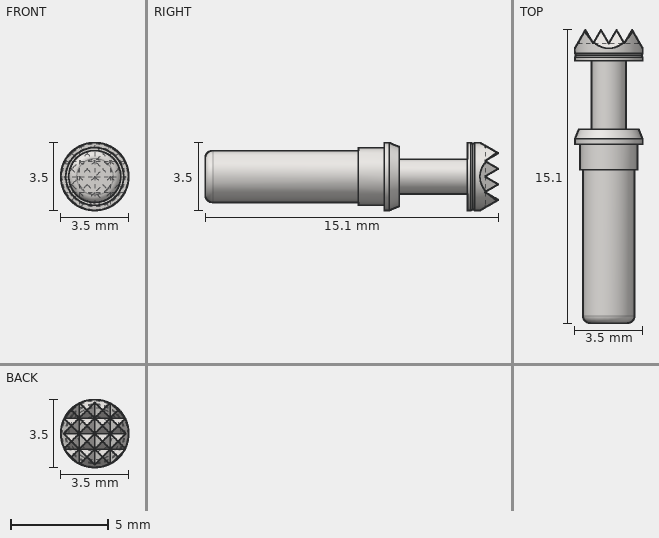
import cadquery as cq
import math


total_length = 15.1
head_length = 1.6
shaft_length = 3.5
collar_taper_length = 0.51
collar_rim_length = 0.27
press_fit_length = 1.31

head_diameter = 3.5
shaft_diameter = 1.8
collar_diameter = 3.5
collar_front_diameter = 3.08
press_fit_diameter = 2.97
barrel_diameter = 2.67

tail_fillet = 0.4

ring_groove_width = 0.21
ring_groove_depth = 0.06
ring_groove_offset = 0.18

teeth_per_row = 4
tooth_pitch = 0.8
tooth_angle = 60.0

head_back = total_length - head_length
collar_front = head_back - shaft_length
rim_front = collar_front - collar_taper_length
rim_back = rim_front - collar_rim_length
press_fit_back = rim_back - press_fit_length


def turned_body():
    """Revolve the half profile of the probe around the Y axis."""
    head_radius = head_diameter / 2
    groove_start = head_back + ring_groove_offset
    groove_middle = groove_start + ring_groove_width / 2
    groove_end = groove_start + ring_groove_width
    profile = [
        (0, 0),
        (barrel_diameter / 2, 0),
        (barrel_diameter / 2, press_fit_back),
        (press_fit_diameter / 2, press_fit_back),
        (press_fit_diameter / 2, rim_back),
        (collar_diameter / 2, rim_back),
        (collar_diameter / 2, rim_front),
        (collar_front_diameter / 2, collar_front),
        (shaft_diameter / 2, collar_front),
        (shaft_diameter / 2, head_back),
        (head_radius, head_back),
        (head_radius, groove_start),
        (head_radius - ring_groove_depth, groove_middle),
        (head_radius, groove_end),
        (head_radius, total_length),
        (0, total_length),
    ]
    body = cq.Workplane("XY").polyline(profile).close().revolve(360, (0, 0, 0), (0, 1, 0))
    return body.faces("<Y").edges().fillet(tail_fillet)


def tooth_ridges():
    """Prism along Z whose front is a row of ridges with sloping outer flanks."""
    slope = 1 / math.tan(math.radians(tooth_angle / 2))
    valley = total_length - slope * tooth_pitch / 2
    outer_tip = (teeth_per_row - 1) * tooth_pitch / 2
    side = head_diameter
    outer_flank_end = total_length - slope * (side - outer_tip)

    outline = [(-side, 0), (-side, outer_flank_end)]
    for tooth in range(teeth_per_row):
        tip = tooth * tooth_pitch - outer_tip
        if tooth > 0:
            outline.append((tip - tooth_pitch / 2, valley))
        outline.append((tip, total_length))
    outline += [(side, outer_flank_end), (side, 0)]
    return cq.Workplane("XY").polyline(outline).close().extrude(side, both=True)


ridges = tooth_ridges()
crossed_ridges = ridges.rotate((0, 0, 0), (0, 1, 0), 90)
result = turned_body().intersect(ridges).intersect(crossed_ridges)